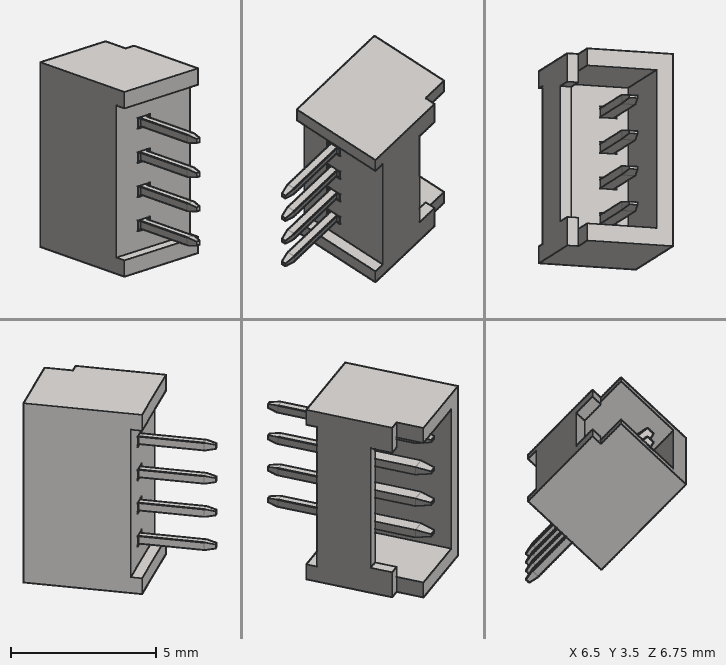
import cadquery as cq


length = 6.75
width = 3.5
depth = 4.2
foot_height = 0.4
wall = 0.6
latch_wall = 0.4
latch_setback = 1.0
window_margin = 1.0
window_end = 1.8
floor_thickness = wall

back_face = depth - foot_height
cavity_depth = back_face - floor_thickness

pin_count = 4
pin_pitch = 1.25
pin_y = 1.31
blade_width = 0.5
pin_thickness = 0.305
blade_start = 0.4
blade_taper = 0.555
blade_tip_width = 0.3
blade_tip_thickness = 0.095
tail_end = 6.5
tail_taper = 0.4
tail_tip = 0.155
tail_bevel = 0.019
hole_clearance = 0.05

first_pin_z = (length - (pin_count - 1) * pin_pitch) / 2
pin_heights = [first_pin_z + i * pin_pitch for i in range(pin_count)]


def box(x_range, y_range, z_range):
    """Block that spans the given (low, high) ranges."""
    ranges = (x_range, y_range, z_range)
    sizes = [high - low for low, high in ranges]
    corner = tuple(low for low, high in ranges)
    return cq.Workplane("XY").box(*sizes, centered=False).translate(corner)


def section(x, z):
    """Workplane across a pin's axis: local x is Y, local y is Z."""
    plane = cq.Plane(origin=(x, pin_y, z), xDir=(0, 1, 0), normal=(1, 0, 0))
    return cq.Workplane(plane)


def bar(x_start, x_end, z, size_y, size_z):
    """Straight rectangular stretch of a pin, or of the hole for it."""
    return section(x_start, z).rect(size_y, size_z).extrude(x_end - x_start)


def taper(x_start, x_end, z, start_size, end_size):
    """Pin stretch that changes from one (Y, Z) size to another."""
    start = section(x_start, z).rect(*start_size)
    return start.workplane(offset=x_end - x_start).rect(*end_size).loft(ruled=True)


def make_housing():
    body = box((0, depth), (0, width), (0, length))
    latch_y = width - latch_wall

    body = body.cut(box((0, cavity_depth), (wall, latch_y), (wall, length - wall)))

    body = body.cut(box((0, latch_setback), (latch_y, width), (0, length)))

    window_z = (window_margin, length - window_margin)
    body = body.cut(box((latch_setback, window_end), (latch_y, width), window_z))

    body = body.cut(box((back_face, depth), (0, width), (wall, length - wall)))

    hole_width = blade_width + 2 * hole_clearance
    hole_thickness = pin_thickness + 2 * hole_clearance
    for z in pin_heights:
        body = body.cut(bar(cavity_depth, back_face, z, hole_width, hole_thickness))
    return body


def make_pin(z):
    blade_size = (blade_width, pin_thickness)
    blade_tip_size = (blade_tip_width, blade_tip_thickness)
    tail_size = (pin_thickness, pin_thickness)
    tail_tip_size = (tail_tip, tail_tip)
    blade_shoulder = blade_start + blade_taper
    tail_shoulder = tail_end - tail_taper

    mating_tip = taper(blade_start, blade_shoulder, z, blade_tip_size, blade_size)
    blade = bar(blade_shoulder, back_face, z, *blade_size)

    tail = bar(back_face, tail_end, z, *tail_size).edges("|X").chamfer(tail_bevel)
    straight = bar(back_face, tail_shoulder, z, *tail_size)
    solder_tip = taper(tail_shoulder, tail_end, z, tail_size, tail_tip_size)
    tail = tail.intersect(straight.union(solder_tip))
    return mating_tip.union(blade).union(tail)


housing = make_housing()
pins = [make_pin(z) for z in pin_heights]

result = cq.Compound.makeCompound([housing.val(), *[pin.val() for pin in pins]])